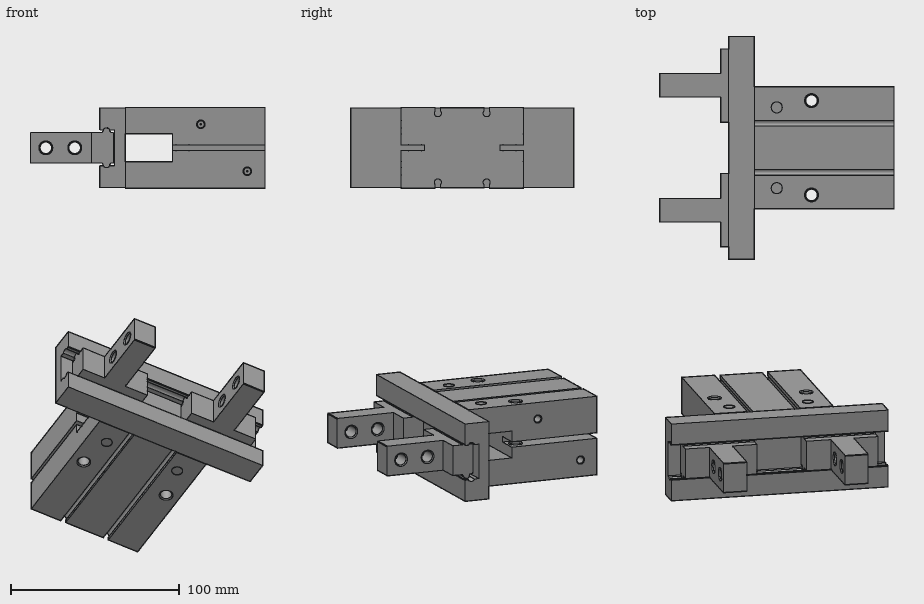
import cadquery as cq
import math

TOTAL_LENGTH = 139.0

RAIL_FRONT_X = 41.0
RAIL_BACK_X = 56.3
RAIL_WIDTH = 132.0
RAIL_HEIGHT = 47.3
CHANNEL_FLOOR_X = 49.8
CHANNEL_HEIGHT = 21.0
CHANNEL_LIP_CHAMFER = 0.4

TRACK_X = 45.0
TRACK_RADIUS = 2.1
TRACK_Z = 9.7
TRACK_FOOT_FLARE = 0.5

HOUSING_WIDTH = 72.3
HOUSING_HEIGHT = 48.0
CENTRE_STRIP_HEIGHT = 47.5
WINDOW_END_X = 84.1
WINDOW_HEIGHT = 16.4

GROOVE_Y = 14.5
GROOVE_NECK_WIDTH = 3.3
GROOVE_NECK_DEPTH = 2.2
GROOVE_BORE_DIAMETER = 4.2

SLIT_HEIGHT = 3.3
SLIT_DEPTH = 13.9

MOUNT_HOLE_X = 90.1
MOUNT_HOLE_Y = 28.0
MOUNT_HOLE_DIAMETER = 6.8
MOUNT_HOLE_MOUTH_DIAMETER = 8.2

RECESS_X = 69.5
RECESS_Y = 23.9
RECESS_DIAMETER = 6.5
RECESS_DEPTH = 0.3

PORT_POSITIONS = [(100.9, 13.9), (128.5, -13.9)]
PORT_DIAMETER = 4.2
PORT_MOUTH_DIAMETER = 5.0
PORT_DEPTH = 8.3
PORT_PASSAGE_DIAMETER = 0.7
PORT_PASSAGE_DEPTH = 12.5

FINGER_HEIGHT = 18.2
FINGER_BACK_X = 49.3
FINGER_EDGE_CHAMFER = 0.4
SLIDER_FRONT_X = 36.3
SLIDER_WIDTH = 43.5
SLIDER_Y = 36.8
ARM_WIDTH = 14.0
ARM_Y = 37.0
ARM_HOLE_XS = [9.2, 26.3]
ARM_HOLE_DIAMETER = 6.8
ARM_HOLE_MOUTH_DIAMETER = 8.2

SIDES = (-1, 1)


def box(x_start, x_end, y_centre, width, z_centre, height):
    """Block given by its X range and its centre and size in Y and Z."""
    length = x_end - x_start
    return cq.Workplane("XY").box(length, width, height).translate(
        ((x_start + x_end) / 2, y_centre, z_centre)
    )


def cylinder_y(x, z, y_centre, diameter, length):
    """Cylinder along Y, centred on y_centre."""
    start = y_centre + length / 2
    return cq.Workplane("XZ", origin=(x, start, z)).circle(diameter / 2).extrude(length)


def tracks(y_centre, length):
    """Upper and lower round tracks along Y."""
    upper = cylinder_y(TRACK_X, TRACK_Z, y_centre, 2 * TRACK_RADIUS, length)
    lower = cylinder_y(TRACK_X, -TRACK_Z, y_centre, 2 * TRACK_RADIUS, length)
    return upper.union(lower)


def chamfered_hole(plane, length, diameter, mouth_diameter):
    """Cutter for a through hole, centred on the plane, with a 45 degree chamfer at both ends."""
    cutter = cq.Workplane(plane).circle(diameter / 2).extrude(length / 2, both=True)
    chamfer = (mouth_diameter - diameter) / 2
    for side in SIDES:
        mouth = (
            cq.Workplane(plane)
            .workplane(offset=side * length / 2)
            .circle(mouth_diameter / 2)
            .workplane(offset=-side * chamfer)
            .circle(diameter / 2)
            .loft()
        )
        cutter = cutter.union(mouth)
    return cutter


def make_rail():
    """Front plate with the channel and tracks in which the fingers slide."""
    rail = box(RAIL_FRONT_X, RAIL_BACK_X, 0, RAIL_WIDTH, 0, RAIL_HEIGHT)
    channel = box(RAIL_FRONT_X, CHANNEL_FLOOR_X, 0, RAIL_WIDTH, 0, CHANNEL_HEIGHT)
    lip = CHANNEL_HEIGHT / 2
    lip_chamfer = (
        cq.Workplane("XZ", origin=(RAIL_FRONT_X, RAIL_WIDTH / 2, 0))
        .moveTo(0, -lip - CHANNEL_LIP_CHAMFER)
        .lineTo(CHANNEL_LIP_CHAMFER, -lip)
        .lineTo(CHANNEL_LIP_CHAMFER, lip)
        .lineTo(0, lip + CHANNEL_LIP_CHAMFER)
        .close()
        .extrude(RAIL_WIDTH)
    )
    return rail.cut(channel).cut(lip_chamfer).cut(tracks(0, RAIL_WIDTH))


def groove_cutter(y, side):
    """Keyhole groove along the top (side 1) or bottom (side -1) face: a neck over a round bore."""
    length = TOTAL_LENGTH - RAIL_BACK_X
    face_z = HOUSING_HEIGHT / 2
    bore_radius = GROOVE_BORE_DIAMETER / 2
    bore_drop = math.sqrt(bore_radius**2 - (GROOVE_NECK_WIDTH / 2) ** 2)
    bore_z = face_z - GROOVE_NECK_DEPTH - bore_drop
    neck_z = (face_z + bore_z) / 2
    neck = box(RAIL_BACK_X, TOTAL_LENGTH, y, GROOVE_NECK_WIDTH, side * neck_z, face_z - bore_z)
    bore = (
        cq.Workplane("YZ", origin=(RAIL_BACK_X, y, side * bore_z))
        .circle(bore_radius)
        .extrude(length)
    )
    return neck.union(bore)


def port_cutter(x, z):
    """Chamfered blind hole with a narrow air passage in its floor, entering from the -Y side."""
    radius = PORT_DIAMETER / 2
    mouth_radius = PORT_MOUTH_DIAMETER / 2
    chamfer = mouth_radius - radius
    passage_radius = PORT_PASSAGE_DIAMETER / 2
    return (
        cq.Workplane("XY", origin=(x, -HOUSING_WIDTH / 2, z))
        .polyline(
            [
                (0, 0),
                (mouth_radius, 0),
                (radius, chamfer),
                (radius, PORT_DEPTH),
                (passage_radius, PORT_DEPTH),
                (passage_radius, PORT_PASSAGE_DEPTH),
                (0, PORT_PASSAGE_DEPTH),
            ]
        )
        .close()
        .revolve(360, (0, 0), (0, 1))
    )


def make_housing():
    """Rail plate and cylinder block in one piece."""
    block = box(RAIL_BACK_X, TOTAL_LENGTH, 0, HOUSING_WIDTH, 0, HOUSING_HEIGHT)

    step = (HOUSING_HEIGHT - CENTRE_STRIP_HEIGHT) / 2
    step_z = HOUSING_HEIGHT / 2 - step / 2
    for side in SIDES:
        block = block.cut(box(RAIL_BACK_X, TOTAL_LENGTH, 0, 2 * GROOVE_Y, side * step_z, step))

    block = block.cut(box(RAIL_BACK_X, WINDOW_END_X, 0, HOUSING_WIDTH, 0, WINDOW_HEIGHT))
    jaw_height = (HOUSING_HEIGHT - SLIT_HEIGHT) / 2
    jaw_z = (HOUSING_HEIGHT + SLIT_HEIGHT) / 4
    mount_hole = chamfered_hole("XY", jaw_height, MOUNT_HOLE_DIAMETER, MOUNT_HOLE_MOUTH_DIAMETER)
    recess_z = (HOUSING_HEIGHT - RECESS_DEPTH) / 2
    slit_y = (HOUSING_WIDTH - SLIT_DEPTH) / 2

    for y_side in SIDES:
        block = block.cut(
            box(WINDOW_END_X, TOTAL_LENGTH, y_side * slit_y, SLIT_DEPTH, 0, SLIT_HEIGHT)
        )
        for z_side in SIDES:
            hole_place = (MOUNT_HOLE_X, y_side * MOUNT_HOLE_Y, z_side * jaw_z)
            block = block.cut(mount_hole.translate(hole_place))
            block = block.cut(groove_cutter(y_side * GROOVE_Y, z_side))
            recess = cq.Workplane("XY").cylinder(RECESS_DEPTH, RECESS_DIAMETER / 2)
            block = block.cut(recess.translate((RECESS_X, y_side * RECESS_Y, z_side * recess_z)))

    for x, z in PORT_POSITIONS:
        block = block.cut(port_cutter(x, z))

    return make_rail().union(block)


def track_feet(y_centre):
    """Flared feet that join the upper and lower tracks to the slider."""
    foot_z = FINGER_HEIGHT / 2
    foot_half_width = TRACK_RADIUS + TRACK_FOOT_FLARE
    return (
        cq.Workplane("XZ", origin=(TRACK_X, y_centre + SLIDER_WIDTH / 2, 0))
        .polyline(
            [
                (-foot_half_width, -foot_z),
                (-TRACK_RADIUS, -TRACK_Z),
                (TRACK_RADIUS, -TRACK_Z),
                (foot_half_width, -foot_z),
                (foot_half_width, foot_z),
                (TRACK_RADIUS, TRACK_Z),
                (-TRACK_RADIUS, TRACK_Z),
                (-foot_half_width, foot_z),
            ]
        )
        .close()
        .extrude(SLIDER_WIDTH)
    )


def make_finger(side):
    """T-shaped finger; side is 1 for +Y and -1 for -Y."""
    slider_y = side * SLIDER_Y
    arm_y = side * ARM_Y
    slider = box(SLIDER_FRONT_X, FINGER_BACK_X, slider_y, SLIDER_WIDTH, 0, FINGER_HEIGHT)
    slider = slider.faces(">X").edges("|Y").chamfer(FINGER_EDGE_CHAMFER)
    arm = box(0, SLIDER_FRONT_X, arm_y, ARM_WIDTH, 0, FINGER_HEIGHT)
    arm = arm.faces("<X").edges("|Y").chamfer(FINGER_EDGE_CHAMFER)
    finger = slider.union(arm).union(tracks(slider_y, SLIDER_WIDTH))
    finger = finger.union(track_feet(slider_y))

    arm_hole = chamfered_hole("XZ", ARM_WIDTH, ARM_HOLE_DIAMETER, ARM_HOLE_MOUTH_DIAMETER)
    for x in ARM_HOLE_XS:
        finger = finger.cut(arm_hole.translate((x, arm_y, 0)))
    return finger


housing = make_housing()
fingers = [make_finger(side) for side in SIDES]

result = cq.Compound.makeCompound([housing.val(), *[finger.val() for finger in fingers]])